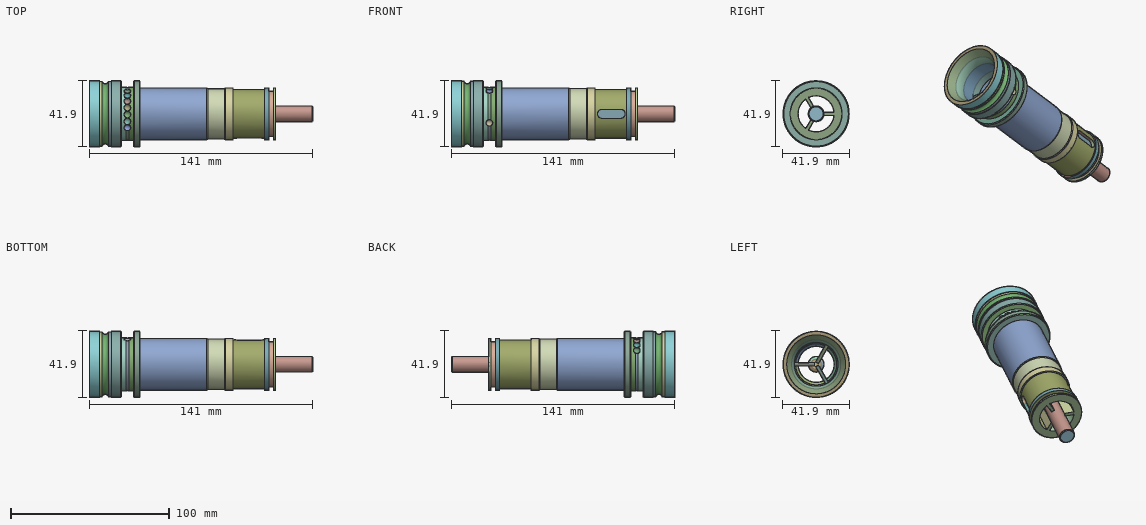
import cadquery as cq

flange_diameter = 41.9
flange_radius = flange_diameter / 2
flange_end = 20.2
edge_chamfer = 0.5
band_start = 6.2
band_end = 13.8
band_radius = 20.6
groove_x = 10.0
groove_radius = 2.1
groove_floor_radius = 19.0

neck_radius = 16.9
collar_start = 27.8
collar_end = 32.0

sleeve_diameter = 32.9
sleeve_radius = sleeve_diameter / 2
sleeve_end = 117.6
relief_start = 74.0
relief_end = 85.9
relief_diameter = 32.0
relief_radius = relief_diameter / 2
relief_taper = 0.7
tail_start = 90.7
tail_radius = 15.5
tail_end = 110.5
ring_groove_start = 113.2
ring_groove_end = 116.2
ring_groove_radius = 14.4

mouth_radius = 18.6
cone_end = 5.0
cone_end_radius = 15.5
bore_start = 11.0
bore_radius = 13.8
bore_end = 20.7
seat_start = 25.4
seat_radius = 13.0
seat_end = 28.2
exit_radius = 11.3

rod_end = 141.0
rod_diameter = 10.0
rod_radius = rod_diameter / 2
rod_start = 22.5
rod_nose_fillet = 1.8
rod_end_chamfer = 0.5
vane_count = 3
vane_start = bore_end
vane_thickness = 2.1
vane_inner_radius = 1.1
vane_edge_fillet = 0.7

track_x = (flange_end + collar_start) / 2
track_radius = 1.4
track_depth = 0.3
dimple_radius = 2.1
dimple_row_start = -31.5
dimple_pitch = 15.0
dimple_row_count = 7
lone_dimple_angle = -110.0

slot_start = 92.2
slot_end = 109.7
slot_width = 5.6
slot_depth = 2.3


def revolve_about_x(outline):
    """Turn a closed outline, drawn as X against radius, about the X axis."""
    return outline.close().revolve(360, (0, 0, 0), (1, 0, 0))


def make_body():
    """Solid outer shape of the flange, neck, collar, sleeve and tail."""
    chamfered_radius = flange_radius - edge_chamfer
    outline = (
        cq.Workplane("XY")
        .moveTo(0, 0)
        .lineTo(0, flange_radius)
        .lineTo(band_start, flange_radius)
        .lineTo(band_start, band_radius)
        .lineTo(band_end, band_radius)
        .lineTo(band_end, flange_radius)
        .lineTo(flange_end - edge_chamfer, flange_radius)
        .lineTo(flange_end, chamfered_radius)
        .lineTo(flange_end, neck_radius)
        .lineTo(collar_start, neck_radius)
        .lineTo(collar_start, chamfered_radius)
        .lineTo(collar_start + edge_chamfer, flange_radius)
        .lineTo(collar_end - edge_chamfer, flange_radius)
        .lineTo(collar_end, chamfered_radius)
        .lineTo(collar_end, sleeve_radius)
        .lineTo(relief_start, sleeve_radius)
        .lineTo(relief_start + relief_taper, relief_radius)
        .lineTo(relief_end - relief_taper, relief_radius)
        .lineTo(relief_end, sleeve_radius)
        .lineTo(tail_start, sleeve_radius)
        .lineTo(tail_start, tail_radius)
        .lineTo(tail_end, tail_radius)
        .lineTo(tail_end, sleeve_radius)
        .lineTo(ring_groove_start, sleeve_radius)
        .lineTo(ring_groove_start, ring_groove_radius)
        .lineTo(ring_groove_end, ring_groove_radius)
        .lineTo(ring_groove_end, sleeve_radius)
        .lineTo(sleeve_end, sleeve_radius)
        .lineTo(sleeve_end, 0)
    )
    return revolve_about_x(outline)


def make_bore():
    """Space inside the sleeve, open at both ends."""
    outline = (
        cq.Workplane("XY")
        .moveTo(0, 0)
        .lineTo(0, mouth_radius)
        .lineTo(cone_end, cone_end_radius)
        .tangentArcPoint((bore_start, bore_radius), relative=False)
        .lineTo(bore_end, bore_radius)
        .lineTo(seat_start, seat_radius)
        .lineTo(seat_end, exit_radius)
        .lineTo(sleeve_end, exit_radius)
        .lineTo(sleeve_end, 0)
    )
    return revolve_about_x(outline)


def make_ring(x, ring_radius, section_radius):
    """Torus about the X axis, for cutting a round-bottomed groove."""
    section = cq.Workplane("XY").center(x, ring_radius).circle(section_radius)
    return section.revolve(360, (-x, -ring_radius, 0), (1.4 - x, -ring_radius, 0))


def make_dimple(angle):
    """Ball on the neck surface, turned about X from +Z towards +Y by the angle."""
    ball = cq.Workplane("XY").sphere(dimple_radius).translate((track_x, 0, neck_radius))
    return ball.rotate((0, 0, 0), (1, 0, 0), -angle)


def make_slot():
    """Round-ended slot cutter entering the tail from -Y."""
    return (
        cq.Workplane("XZ", origin=((slot_start + slot_end) / 2, -(tail_radius - slot_depth), 0))
        .slot2D(slot_end - slot_start, slot_width)
        .extrude(2 * slot_depth)
    )


def make_rod():
    """Rod along the axis with a rounded nose and a chamfered far end."""
    rod = cq.Workplane("YZ", origin=(rod_start, 0, 0)).circle(rod_radius).extrude(rod_end - rod_start)
    return rod.faces("<X").edges().fillet(rod_nose_fillet).faces(">X").edges().chamfer(rod_end_chamfer)


def make_vane(angle):
    """Radial plate with a rounded leading edge, turned about X from +Y by the angle."""
    plate = cq.Workplane("XY").box(
        sleeve_end - vane_start,
        bore_radius - vane_inner_radius,
        vane_thickness,
        centered=(False, False, True),
    )
    plate = plate.faces("<X").edges("|Y").fillet(vane_edge_fillet)
    return plate.translate((vane_start, vane_inner_radius, 0)).rotate((0, 0, 0), (1, 0, 0), angle)


result = make_body().cut(make_bore())
result = result.cut(make_ring(groove_x, groove_floor_radius + groove_radius, groove_radius))
result = result.cut(make_ring(track_x, neck_radius - track_depth + track_radius, track_radius))

dimple_angles = [dimple_row_start + dimple_pitch * i for i in range(dimple_row_count)]
for dimple_angle in dimple_angles + [lone_dimple_angle]:
    result = result.cut(make_dimple(dimple_angle))

result = result.cut(make_slot())

result = result.union(make_rod())
for i in range(vane_count):
    result = result.union(make_vane(i * 360 / vane_count))